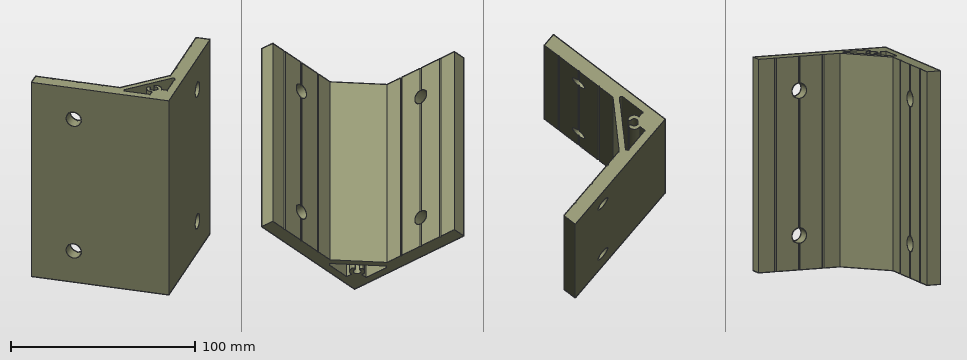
import cadquery as cq
import math

LEG = 78.0
LENGTH = 118.0
THICKNESS = 8.0
GUSSET_REACH = 30.0
GUSSET_WALL = 3.5
POCKET_WALL = 4.5
POCKET_TIP_RADIUS = 1.0

BOSS = 12.0
CHANNEL_RADIUS = 2.1
HOOK_RADIUS = 4.1
OPENING_DIRECTION = 135.0
HALF_OPENING = 45.0

HOLE_DIAMETER = 8.5
HOLE_FROM_TIP = 24.0
HOLE_SPACING = 80.0

GROOVE_WIDTH = 1.0
GROOVE_DEPTH = 0.5
GROOVE_PITCH = 14.0

HOLE_FROM_CORNER = LEG - HOLE_FROM_TIP


def angle_body():
    """L-shaped bar with a diagonal gusset filling the inner corner."""
    outline = [
        (0, 0),
        (0, LEG),
        (-THICKNESS, LEG),
        (-THICKNESS, GUSSET_REACH),
        (-GUSSET_REACH, THICKNESS),
        (-LEG, THICKNESS),
        (-LEG, 0),
    ]
    return cq.Workplane("XY").polyline(outline).close().extrude(LENGTH)


def channel_point(radius, angle):
    """Point around the channel axis at an angle in degrees."""
    turn = math.radians(angle)
    return (-BOSS + radius * math.cos(turn), BOSS + radius * math.sin(turn))


def channel_bore():
    """Round bore of the screw channel."""
    return cq.Workplane("XY").center(-BOSS, BOSS).circle(CHANNEL_RADIUS).extrude(LENGTH)


def hooks():
    """C-shaped ring with rounded tips that opens towards the gusset."""
    first = OPENING_DIRECTION + HALF_OPENING
    last = OPENING_DIRECTION - HALF_OPENING
    opposite = OPENING_DIRECTION + 180
    middle_radius = (HOOK_RADIUS + CHANNEL_RADIUS) / 2
    tip_radius = (HOOK_RADIUS - CHANNEL_RADIUS) / 2
    ring = (
        cq.Workplane("XY")
        .moveTo(*channel_point(HOOK_RADIUS, first))
        .threePointArc(channel_point(HOOK_RADIUS, opposite), channel_point(HOOK_RADIUS, last))
        .lineTo(*channel_point(CHANNEL_RADIUS, last))
        .threePointArc(channel_point(CHANNEL_RADIUS, opposite), channel_point(CHANNEL_RADIUS, first))
        .close()
        .extrude(LENGTH)
    )
    tips = (
        cq.Workplane("XY")
        .pushPoints([channel_point(middle_radius, angle) for angle in (first, last)])
        .circle(tip_radius)
        .extrude(LENGTH)
    )
    return ring.union(tips)


def hollow():
    """Triangular hollow behind the gusset, clear of the corner boss and hooks."""
    tip = GUSSET_REACH + THICKNESS - GUSSET_WALL * math.sqrt(2) - POCKET_WALL
    triangle = (
        cq.Workplane("XY")
        .polyline([(-POCKET_WALL, POCKET_WALL), (-POCKET_WALL, tip), (-tip, POCKET_WALL)])
        .close()
        .extrude(LENGTH)
        .edges("|Z and (<X or >Y)")
        .fillet(POCKET_TIP_RADIUS)
    )
    boss = cq.Workplane("XY").rect(2 * BOSS, 2 * BOSS).extrude(LENGTH)
    return triangle.cut(boss).cut(hooks()).union(channel_bore())


def leg_holes(plane, along):
    """Pair of holes through the leg on the given plane, at a signed distance from the corner."""
    heights = [LENGTH / 2 + side * HOLE_SPACING / 2 for side in (-1, 1)]
    return (
        cq.Workplane(plane)
        .pushPoints([(along, height) for height in heights])
        .circle(HOLE_DIAMETER / 2)
        .extrude(-THICKNESS)
    )


def groove(distance, on_y_leg):
    """V-groove along the inner face of one leg, at a distance from the outer corner."""
    half_width = GROOVE_WIDTH / 2
    points = [
        (-distance - half_width, THICKNESS),
        (-distance, THICKNESS - GROOVE_DEPTH),
        (-distance + half_width, THICKNESS),
    ]
    if on_y_leg:
        points = [(-y, -x) for x, y in points]
    return cq.Workplane("XY").polyline(points).close().extrude(LENGTH)


result = angle_body().cut(hollow())
result = result.cut(leg_holes("XZ", -HOLE_FROM_CORNER))
result = result.cut(leg_holes("YZ", HOLE_FROM_CORNER))
for step in (-1, 0, 1):
    for on_y_leg in (False, True):
        result = result.cut(groove(HOLE_FROM_CORNER + step * GROOVE_PITCH, on_y_leg))